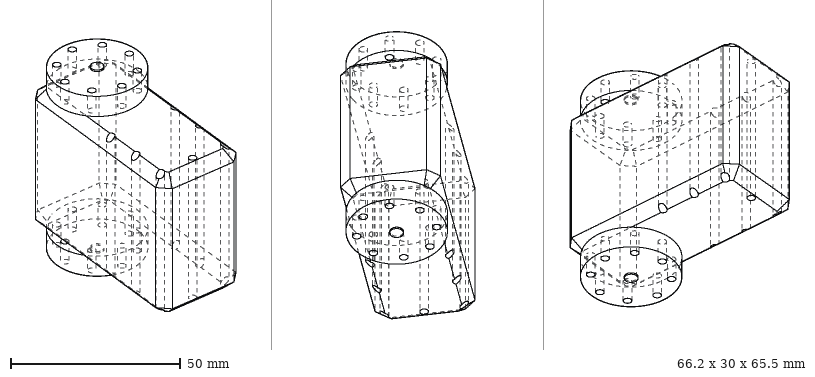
import cadquery as cq

total_length = 66.25
total_height = 65.5
housing_length = 65.1
housing_width = 30.0
housing_height = 50.0
bevel = 3.5

disc_diameter = housing_width
disc_thickness = 7.2
boss_diameter = 4.1
boss_height = (total_height - housing_height) / 2 - disc_thickness

screw_hole_diameter = 2.5
disc_hole_count = 8
screw_pitch = 12.0
disc_hole_circle_radius = screw_pitch
end_row_x = 46.2

housing_right_x = total_length - disc_diameter / 2
housing_center_x = housing_right_x - housing_length / 2


def make_housing():
    """Block bevelled on every edge, with screw holes through its full height."""
    block = (
        cq.Workplane("XY")
        .center(housing_center_x, 0)
        .box(housing_length, housing_width, housing_height)
        .edges("|Z").chamfer(bevel)
        .faces("<Z or >Z").edges().chamfer(bevel)
    )
    hole_points = [(end_row_x, 0)]
    for step in range(3):
        x = end_row_x - step * screw_pitch
        hole_points += [(x, -screw_pitch), (x, screw_pitch)]
    holes = (
        cq.Workplane("XY", origin=(0, 0, -housing_height / 2))
        .pushPoints(hole_points)
        .circle(screw_hole_diameter / 2)
        .extrude(housing_height)
    )
    return block.cut(holes)


def make_disc(side):
    """Drilled disc with a central boss; side is +1 above the housing and -1 below it."""
    plate = (
        cq.Workplane("XY", origin=(0, 0, side * housing_height / 2))
        .circle(disc_diameter / 2)
        .extrude(side * disc_thickness)
    )
    holes = (
        cq.Workplane("XY", origin=(0, 0, side * housing_height / 2))
        .polarArray(disc_hole_circle_radius, 0, 360, disc_hole_count)
        .circle(screw_hole_diameter / 2)
        .extrude(side * disc_thickness)
    )
    boss = (
        cq.Workplane("XY", origin=(0, 0, side * (housing_height / 2 + disc_thickness)))
        .circle(boss_diameter / 2)
        .extrude(side * boss_height)
    )
    return plate.cut(holes).union(boss)


housing = make_housing()
discs = [make_disc(side) for side in (1, -1)]

result = cq.Compound.makeCompound([housing.val(), *[disc.val() for disc in discs]])